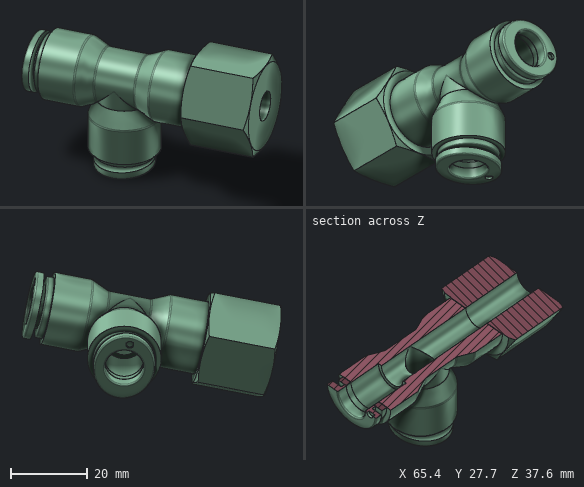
import cadquery as cq


ARM_LENGTH = 20.65
ARM_DIAMETER = 19.4
WAIST_DIAMETER = 15.1
WAIST_END = 5.7
TAPER_END = 10.5
TAPER_FILLET = 1.1
PASSAGE_DIAMETER = 8.0
SOCKET_DIAMETER = 10.2
SOCKET_BOTTOM = TAPER_END

RING_LENGTH = 1.75
RING_DIAMETER = 16.5
RING_FILLET = 0.25

NECK_LENGTH = 1.1
NECK_DIAMETER = 11.7
FLANGE_THICKNESS = 2.1
FLANGE_WIDTH = 18.45
FLANGE_HEIGHT = 16.1
FLANGE_FILLET = 0.4
SLEEVE_BORE_DIAMETER = 10.15
MARK_DIAMETER = 2.0
MARK_DEPTH = 0.8
MARK_OFFSET = 6.9

NUT_LENGTH = 19.1
NUT_CORNERS = 27.7
NUT_CHAMFER_LENGTH = 0.7
NUT_CHAMFER_DIAMETER = 23.9

LEFT_TURN = -90
BRANCH_TURN = 180
RIGHT_TURN = 90
PORT_TURNS = [LEFT_TURN, BRANCH_TURN]


def turned(part, angle):
    """Turn a part built along +Z about the Y axis through the crossing."""
    return part.rotate((0, 0, 0), (0, 1, 0), angle)


def cylinder(diameter, start, end):
    return cq.Workplane("XY").workplane(offset=start).circle(diameter / 2).extrude(end - start)


def make_arm():
    """Solid arm from the crossing outwards: waist, taper, full diameter."""
    return (
        cq.Workplane("XZ")
        .moveTo(0, 0)
        .lineTo(WAIST_DIAMETER / 2, 0)
        .lineTo(WAIST_DIAMETER / 2, WAIST_END)
        .lineTo(ARM_DIAMETER / 2, TAPER_END)
        .lineTo(ARM_DIAMETER / 2, ARM_LENGTH)
        .lineTo(0, ARM_LENGTH)
        .close()
        .revolve(360, (0, 0, 0), (0, 1, 0))
    )


def make_tee():
    run_arm = make_arm().faces("%CONE").edges("%CIRCLE").fillet(TAPER_FILLET)
    branch_arm = make_arm().faces("%CONE").edges("%CIRCLE").edges(">Z").fillet(TAPER_FILLET)

    run = turned(run_arm, LEFT_TURN).union(turned(run_arm, RIGHT_TURN))
    tee = run.union(turned(branch_arm, BRANCH_TURN))

    passage = cylinder(PASSAGE_DIAMETER, 0, ARM_LENGTH)
    socket = cylinder(SOCKET_DIAMETER, SOCKET_BOTTOM, ARM_LENGTH)
    tee = tee.cut(turned(cylinder(PASSAGE_DIAMETER, -ARM_LENGTH, ARM_LENGTH), RIGHT_TURN))
    tee = tee.cut(turned(passage, BRANCH_TURN))
    for angle in PORT_TURNS:
        tee = tee.cut(turned(socket, angle))
    return tee


def make_ring():
    ring = cylinder(RING_DIAMETER, ARM_LENGTH, ARM_LENGTH + RING_LENGTH)
    ring = ring.faces(">Z").edges().fillet(RING_FILLET)
    return ring.cut(cylinder(SOCKET_DIAMETER, ARM_LENGTH, ARM_LENGTH + RING_LENGTH))


def make_sleeve():
    neck_start = ARM_LENGTH + RING_LENGTH
    flange_start = neck_start + NECK_LENGTH
    sleeve_end = flange_start + FLANGE_THICKNESS

    sleeve = cylinder(NECK_DIAMETER, neck_start, flange_start)
    flange = (
        cq.Workplane("XY")
        .workplane(offset=flange_start)
        .ellipse(FLANGE_HEIGHT / 2, FLANGE_WIDTH / 2)
        .extrude(FLANGE_THICKNESS)
    )
    sleeve = sleeve.union(flange).cut(cylinder(SLEEVE_BORE_DIAMETER, neck_start, sleeve_end))
    sleeve = sleeve.faces(">Z").edges().fillet(FLANGE_FILLET)

    mark = cylinder(MARK_DIAMETER, sleeve_end - MARK_DEPTH, sleeve_end)
    return sleeve.cut(mark.translate((0, -MARK_OFFSET, 0)))


def make_nut():
    nut_end = ARM_LENGTH + NUT_LENGTH
    corner_radius = NUT_CORNERS / 2
    face_radius = NUT_CHAMFER_DIAMETER / 2

    corner_turn = 90
    hexagon = (
        cq.Workplane("XY")
        .workplane(offset=ARM_LENGTH)
        .polygon(6, NUT_CORNERS)
        .extrude(NUT_LENGTH)
        .rotate((0, 0, 0), (0, 0, 1), corner_turn)
    )
    chamfered_blank = (
        cq.Workplane("XZ")
        .moveTo(0, ARM_LENGTH)
        .lineTo(face_radius, ARM_LENGTH)
        .lineTo(corner_radius, ARM_LENGTH + NUT_CHAMFER_LENGTH)
        .lineTo(corner_radius, nut_end - NUT_CHAMFER_LENGTH)
        .lineTo(face_radius, nut_end)
        .lineTo(0, nut_end)
        .close()
        .revolve(360, (0, 0, 0), (0, 1, 0))
    )
    nut = hexagon.intersect(chamfered_blank)
    nut = nut.cut(cylinder(PASSAGE_DIAMETER, ARM_LENGTH, nut_end))
    return turned(nut, RIGHT_TURN)


tee = make_tee()
nut = make_nut()
rings = [turned(make_ring(), angle) for angle in PORT_TURNS]
sleeves = [turned(make_sleeve(), angle) for angle in PORT_TURNS]

bodies = [tee, nut, *rings, *sleeves]
result = cq.Compound.makeCompound([body.solids().val() for body in bodies])